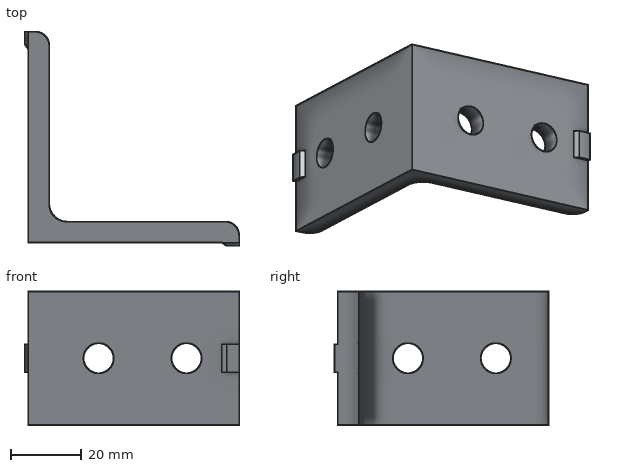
import cadquery as cq

leg_length = 60.0
leg_thickness = 6.0
height = 38.0
tip_radius = 4.0
root_radius = 5.0

hole_diameter = 8.5
hole_distances = (20.0, 45.0)

lug_length = 4.95
lug_height = 8.0
lug_ramp = 1.35
x_leg_lug_depth = 0.92
y_leg_lug_depth = 1.0

mid_height = height / 2


def make_angle():
    """L-section extruded upward, with rounded root and tips."""
    section = (
        cq.Workplane("XY")
        .lineTo(leg_length, 0)
        .lineTo(leg_length, leg_thickness)
        .lineTo(leg_thickness, leg_thickness)
        .lineTo(leg_thickness, leg_length)
        .lineTo(0, leg_length)
        .close()
    )
    angle = section.extrude(height)

    def vertical_edge(x, y):
        return cq.selectors.NearestToPointSelector((x, y, mid_height))

    angle = angle.edges(vertical_edge(leg_thickness, leg_thickness)).fillet(root_radius)
    angle = angle.edges(vertical_edge(leg_length, leg_thickness)).fillet(tip_radius)
    return angle.edges(vertical_edge(leg_thickness, leg_length)).fillet(tip_radius)


def make_hole(distance, along_x):
    """Drill for one through hole in the X leg (along_x) or in the Y leg."""
    if along_x:
        start = cq.Vector(distance, 0, mid_height)
        direction = cq.Vector(0, 1, 0)
    else:
        start = cq.Vector(0, distance, mid_height)
        direction = cq.Vector(1, 0, 0)
    return cq.Workplane(cq.Solid.makeCylinder(hole_diameter / 2, leg_thickness, start, direction))


def make_lug(depth, along_x):
    """Lug standing out from the X leg (along_x) or the Y leg, ramped toward the corner."""
    profile = [
        (leg_length - lug_length, 0),
        (leg_length - lug_length + lug_ramp, -depth),
        (leg_length, -depth),
        (leg_length, 0),
    ]
    if not along_x:
        profile = [(across, along) for along, across in profile]
    base = cq.Workplane("XY", origin=(0, 0, mid_height - lug_height / 2))
    return base.polyline(profile).close().extrude(lug_height)


result = make_angle()
for leg_is_x in (True, False):
    for hole_distance in hole_distances:
        result = result.cut(make_hole(hole_distance, leg_is_x))
result = result.union(make_lug(x_leg_lug_depth, True))
result = result.union(make_lug(y_leg_lug_depth, False))